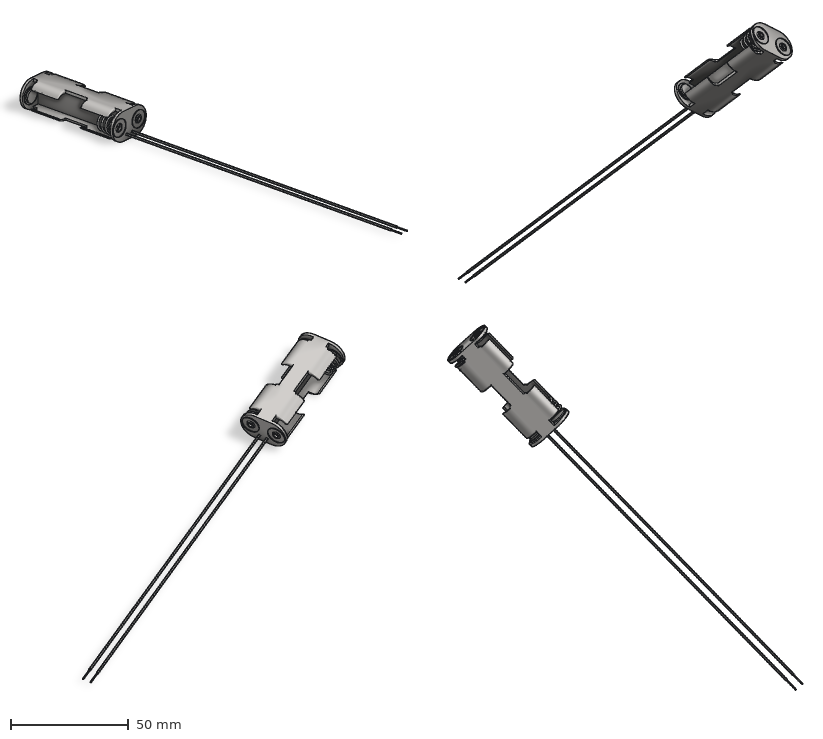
import cadquery as cq
import math

TOTAL_LENGTH = 206.8
HOLDER_LENGTH = 52.1
HOLDER_WIDTH = 22.0
HOLDER_HEIGHT = 14.0
HALF_HEIGHT = HOLDER_HEIGHT / 2
ROUND_CENTRE_Y = HOLDER_WIDTH / 2 - HALF_HEIGHT

END_WALL = 1.5
PLATE_WALL = 1.2
PLATE_OUTER_WIDTH = 7.2
PLATE_INNER_WIDTH = 8.0
WEB_WALL = 1.7
CHANNEL_HALF_HEIGHT = HALF_HEIGHT - PLATE_WALL

ARM_LENGTH = 15.3
ARM_STARTS = (4.3, 32.5)
ARM_TIP_Z = 4.5
ARM_TIP_WALL = 0.8
ARM_FLAT_Y = 5.8
ARM_ROUND = 0.6
ARM_ROOT_FILLET = 0.8

CELL_Y = 6.2
RECESS_RADIUS = 4.1
RECESS_DEPTH = 0.5
RIVET_RADIUS = 1.96
RIVET_CHAMFER = 0.5
RIVET_BORE_RADIUS = 0.93
RIVET_BORE_DEPTH = 1.0
FLANGE_RADIUS = 4.0
FLANGE_THICKNESS = 0.6
BUTTON_RADIUS = 3.0
BUTTON_HEIGHT = 1.5

SPRING_WIRE = 0.8
SPRING_BASE_RADIUS = 4.1
SPRING_TIP_RADIUS = 3.3
SPRING_TURNS = 3.5
SPRING_RISE = 8.5
SPRING_START_ANGLE = 90

LEAD_Y = 1.9
LEAD_Z = -4.3
INSULATION_RADIUS = 0.52
CORE_RADIUS = 0.3
STRIPPED_LENGTH = 5.8


def cylinder(x_start, length, radius, y=0.0, z=0.0):
    """A cylinder along +X."""
    return cq.Workplane("YZ", origin=(x_start, y, z)).circle(radius).extrude(length)


def full_round_block(x_start, length):
    """A length of the full-round outline that encloses the two cells side by side."""
    outline = cq.Workplane("YZ", origin=(x_start, 0, 0)).slot2D(HOLDER_WIDTH, HOLDER_HEIGHT)
    return outline.extrude(length)


def mirrored_to_all_quarters(body):
    """The body in the +Y, +Z quarter joined to its mirror images in the other three."""
    upper = body.union(body.mirror("XZ"))
    return upper.union(upper.mirror("XY"))


def tray():
    """The I-section core: a web between the cells and a plate, wider inside, above and below."""
    half_web = WEB_WALL / 2
    half_inner = PLATE_INNER_WIDTH / 2
    half_outer = PLATE_OUTER_WIDTH / 2
    right_side = [
        (half_outer, -HALF_HEIGHT),
        (half_inner, -CHANNEL_HALF_HEIGHT),
        (half_web, -CHANNEL_HALF_HEIGHT),
        (half_web, CHANNEL_HALF_HEIGHT),
        (half_inner, CHANNEL_HALF_HEIGHT),
        (half_outer, HALF_HEIGHT),
    ]
    left_side = [(-y, z) for y, z in reversed(right_side)]
    return cq.Workplane("YZ").polyline(right_side + left_side).close().extrude(HOLDER_LENGTH)


def arm(x_start):
    """The +Y, +Z arm: flat inside, then curving down to a tip, with its +X outer edge rounded."""
    tip_y = ROUND_CENTRE_Y + math.sqrt(HALF_HEIGHT**2 - ARM_TIP_Z**2)
    middle_angle = (math.pi / 2 + math.asin(ARM_TIP_Z / HALF_HEIGHT)) / 2
    outer_middle = (
        ROUND_CENTRE_Y + HALF_HEIGHT * math.cos(middle_angle),
        HALF_HEIGHT * math.sin(middle_angle),
    )
    return (
        cq.Workplane("YZ", origin=(x_start, 0, 0))
        .moveTo(WEB_WALL / 2, CHANNEL_HALF_HEIGHT)
        .lineTo(ARM_FLAT_Y, CHANNEL_HALF_HEIGHT)
        .tangentArcPoint((tip_y - ARM_TIP_WALL, ARM_TIP_Z), relative=False)
        .lineTo(tip_y, ARM_TIP_Z)
        .threePointArc(outer_middle, (ROUND_CENTRE_Y, HALF_HEIGHT))
        .lineTo(WEB_WALL / 2, HALF_HEIGHT)
        .close()
        .extrude(ARM_LENGTH)
        .faces(">X")
        .edges(">Z")
        .fillet(ARM_ROUND)
    )


def arm_root(x_start):
    """The concave fillet between the -X end of an arm and the edge of its plate."""
    corner_y = PLATE_INNER_WIDTH / 2
    fillet = (
        cq.Workplane("XY", origin=(x_start, corner_y, CHANNEL_HALF_HEIGHT))
        .lineTo(-ARM_ROOT_FILLET, 0)
        .radiusArc((0, ARM_ROOT_FILLET), ARM_ROOT_FILLET)
        .close()
        .extrude(PLATE_WALL)
    )
    edge_infill = cq.Workplane("XY", origin=(x_start - ARM_ROOT_FILLET, 0, CHANNEL_HALF_HEIGHT)).box(
        ARM_ROOT_FILLET, corner_y, PLATE_WALL, centered=False
    )
    return fillet.union(edge_infill).intersect(full_round_block(0, HOLDER_LENGTH))


def housing():
    """The tray with end walls, eight cell arms, and holes for the terminals and leads."""
    body = tray()
    for x_start in ARM_STARTS:
        body = body.union(mirrored_to_all_quarters(arm(x_start)))
        body = body.union(mirrored_to_all_quarters(arm_root(x_start)))
    inner_end = HOLDER_LENGTH - END_WALL
    for x_start in (0, inner_end):
        body = body.union(full_round_block(x_start, END_WALL))
    for y in (CELL_Y, -CELL_Y):
        body = body.cut(cylinder(0, HOLDER_LENGTH, RIVET_RADIUS, y))
        for x_start in (0, HOLDER_LENGTH - RECESS_DEPTH):
            body = body.cut(cylinder(x_start, RECESS_DEPTH, RECESS_RADIUS, y))
    for y in (LEAD_Y, -LEAD_Y):
        body = body.cut(cylinder(inner_end, END_WALL, INSULATION_RADIUS, y, LEAD_Z))
    return body


def rivet(y):
    """The rivet and flange that every terminal shares, in the end wall at x = 0."""
    shank = cylinder(0, END_WALL, RIVET_RADIUS, y).faces("<X").chamfer(RIVET_CHAMFER)
    flange = cylinder(END_WALL, FLANGE_THICKNESS, FLANGE_RADIUS, y)
    bore = cylinder(0, RIVET_BORE_DEPTH, RIVET_BORE_RADIUS, y)
    return shank.union(flange).cut(bore)


def button_contact():
    """The positive terminal, with a flat button on its flange."""
    return rivet(-CELL_Y).union(cylinder(END_WALL, BUTTON_HEIGHT, BUTTON_RADIUS, -CELL_Y))


def spring_contact():
    """The negative terminal, with a conical spring rooted in its flange."""
    taper = math.atan((SPRING_BASE_RADIUS - SPRING_TIP_RADIUS) / SPRING_RISE)
    path = cq.Wire.makeHelix(
        SPRING_RISE / SPRING_TURNS, SPRING_RISE, SPRING_BASE_RADIUS, angle=-math.degrees(taper)
    )
    coil = (
        cq.Workplane("XZ", origin=(SPRING_BASE_RADIUS, 0, 0))
        .circle(SPRING_WIRE / 2)
        .sweep(cq.Workplane(path), isFrenet=True)
        .rotate((0, 0, 0), (0, 0, 1), SPRING_START_ANGLE)
        .rotate((0, 0, 0), (0, 1, 0), 90)
        .translate((END_WALL + FLANGE_THICKNESS, CELL_Y, 0))
    )
    return rivet(CELL_Y).union(coil)


def lead_insulation(y):
    """The sleeve of one lead, from the inner face of the end wall to the stripped end."""
    start = HOLDER_LENGTH - END_WALL
    length = TOTAL_LENGTH - STRIPPED_LENGTH - start
    return cylinder(start, length, INSULATION_RADIUS, y, LEAD_Z).cut(
        cylinder(start, length, CORE_RADIUS, y, LEAD_Z)
    )


def lead_core(y):
    """The conductor of one lead, bare beyond its insulation."""
    start = HOLDER_LENGTH - END_WALL
    return cylinder(start, TOTAL_LENGTH - start, CORE_RADIUS, y, LEAD_Z)


def at_both_ends(terminal):
    """The terminal at x = 0 and its copy at the other end, turned half way about Z."""
    axis_start = (HOLDER_LENGTH / 2, 0, 0)
    axis_end = (HOLDER_LENGTH / 2, 0, 1)
    return [terminal.rotate(axis_start, axis_end, angle).val() for angle in (0, 180)]


bodies = [housing().val()]
bodies += at_both_ends(button_contact())
bodies += at_both_ends(spring_contact())
for lead_y in (LEAD_Y, -LEAD_Y):
    bodies.append(lead_insulation(lead_y).val())
    bodies.append(lead_core(lead_y).val())

result = cq.Compound.makeCompound(bodies)